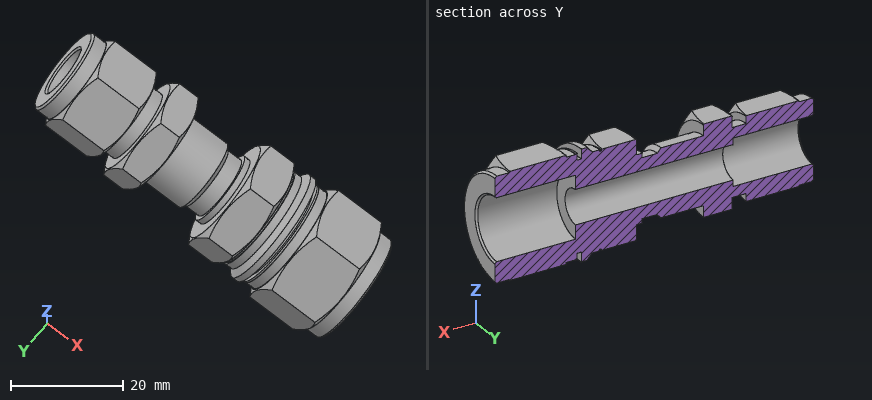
import cadquery as cq
import math

LENGTH = 66.5
X_START = -LENGTH / 2

SMALL_NUT = (3.05, 14.15, 17.5)
LOCK_HEX = (16.95, 23.1, 19.0)
BULKHEAD_HEX = (36.9, 44.3, 20.6)
LARGE_NUT = (51.55, 63.5, 22.2)
HEX_FACE_RATIO = 0.983
HEX_CHAMFER_ANGLE = 30.0

SMALL_CAP_DIAMETER = 17.0
BODY_DIAMETER = 14.3
GROOVE_DIAMETER = 12.5
RELIEF_DIAMETER = 19.95
RING_DIAMETER = 20.6
FLANGE_DIAMETER = 23.0
FLANGE_NECK_DIAMETER = 19.0
COLLAR_LIP_DIAMETER = 21.6
COLLAR_DIAMETER = 21.5
LARGE_CAP_DIAMETER = 21.8

GROOVE_START = 32.65
GROOVE_END = 35.7
GROOVE_TAPER_LENGTH = 0.8
RING_START = 44.6
CONE_START = 46.15
CONE_END = 47.2
FLANGE_END = 48.5
COLLAR_START = 49.3
LIP_LENGTH = 0.4
CAP_CHAMFER = 0.4

BORE_DIAMETER = 7.1
SMALL_SOCKET_DIAMETER = 9.7
SMALL_MOUTH_DIAMETER = 10.45
LARGE_SOCKET_DIAMETER = 12.9
SOCKET_DEPTH = 16.8


def revolve_profile(points):
    """Revolve (axial position, diameter) points about the X axis."""
    outline = [(X_START + x, diameter / 2) for x, diameter in points]
    first_x = outline[0][0]
    last_x = outline[-1][0]
    profile = cq.Workplane("XY").polyline([(first_x, 0)] + outline + [(last_x, 0)]).close()
    return profile.revolve(360, (0, 0, 0), (1, 0, 0))


def chamfered_hex(start, end, across_flats):
    """Hexagon with corners along Y and conical chamfers at both ends."""
    across_corners = across_flats / math.cos(math.radians(30))
    face_diameter = HEX_FACE_RATIO * across_flats
    radial_cut = (across_corners - face_diameter) / 2
    chamfer_length = radial_cut * math.tan(math.radians(HEX_CHAMFER_ANGLE))
    prism = (
        cq.Workplane("YZ", origin=(X_START + start, 0, 0))
        .polygon(6, across_corners)
        .extrude(end - start)
    )
    envelope = revolve_profile([
        (start, face_diameter),
        (start + chamfer_length, across_corners),
        (end - chamfer_length, across_corners),
        (end, face_diameter),
    ])
    return prism.intersect(envelope)


def turned_body():
    """Stepped round body with both end caps, the groove and the sealing flange."""
    return revolve_profile([
        (0, SMALL_CAP_DIAMETER - 2 * CAP_CHAMFER),
        (CAP_CHAMFER, SMALL_CAP_DIAMETER),
        (SMALL_NUT[0], SMALL_CAP_DIAMETER),
        (SMALL_NUT[0], BODY_DIAMETER),
        (GROOVE_START - GROOVE_TAPER_LENGTH, BODY_DIAMETER),
        (GROOVE_START, GROOVE_DIAMETER),
        (GROOVE_END, GROOVE_DIAMETER),
        (GROOVE_END, BODY_DIAMETER),
        (BULKHEAD_HEX[0], BODY_DIAMETER),
        (BULKHEAD_HEX[0], RELIEF_DIAMETER),
        (RING_START, RELIEF_DIAMETER),
        (RING_START, RING_DIAMETER),
        (CONE_START, RING_DIAMETER),
        (CONE_END, FLANGE_DIAMETER),
        (FLANGE_END, FLANGE_DIAMETER),
        (FLANGE_END, FLANGE_NECK_DIAMETER),
        (COLLAR_START, FLANGE_NECK_DIAMETER),
        (COLLAR_START, COLLAR_LIP_DIAMETER),
        (COLLAR_START + LIP_LENGTH, COLLAR_LIP_DIAMETER),
        (COLLAR_START + LIP_LENGTH, COLLAR_DIAMETER),
        (LARGE_NUT[0], COLLAR_DIAMETER),
        (LARGE_NUT[0], LARGE_CAP_DIAMETER),
        (LENGTH - CAP_CHAMFER, LARGE_CAP_DIAMETER),
        (LENGTH, LARGE_CAP_DIAMETER - 2 * CAP_CHAMFER),
    ])


def stepped_bore():
    """Through bore with a tube socket and a chamfered mouth at each end."""
    mouth_chamfer = (SMALL_MOUTH_DIAMETER - SMALL_SOCKET_DIAMETER) / 2
    large_mouth_diameter = LARGE_SOCKET_DIAMETER + 2 * mouth_chamfer
    return revolve_profile([
        (0, SMALL_MOUTH_DIAMETER),
        (mouth_chamfer, SMALL_SOCKET_DIAMETER),
        (SOCKET_DEPTH, SMALL_SOCKET_DIAMETER),
        (SOCKET_DEPTH, BORE_DIAMETER),
        (LENGTH - SOCKET_DEPTH, BORE_DIAMETER),
        (LENGTH - SOCKET_DEPTH, LARGE_SOCKET_DIAMETER),
        (LENGTH - mouth_chamfer, LARGE_SOCKET_DIAMETER),
        (LENGTH, large_mouth_diameter),
    ])


result = turned_body()
for hexagon in (SMALL_NUT, LOCK_HEX, BULKHEAD_HEX, LARGE_NUT):
    result = result.union(chamfered_hex(*hexagon))
result = result.cut(stepped_bore())